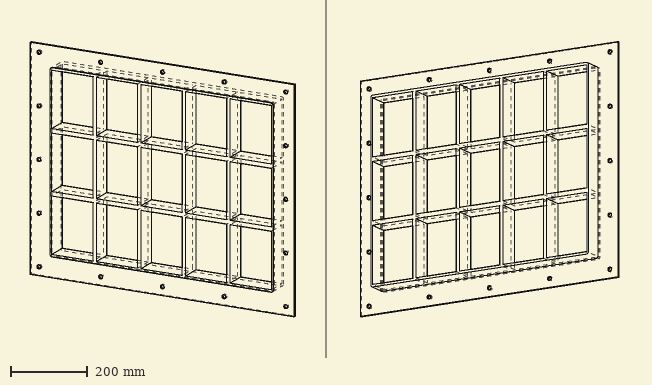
import cadquery as cq

flange_width = 774.5
flange_height = 634.0
flange_thickness = 6.0

box_width = 654.0
box_height = 517.0
box_depth = 60.0
box_corner_radius = 6.0
front_lip = 4.0

columns = 5
rows = 3
side_wall = 5.0
end_wall = 7.0
upright_bar = 10.0
cross_bar = 12.5
opening_width = (box_width - 2 * side_wall - (columns - 1) * upright_bar) / columns
opening_height = (box_height - 2 * end_wall - (rows - 1) * cross_bar) / rows

hole_diameter = 11.0
hole_span_x = 724.0
hole_span_z = 586.0
holes_per_side = 5


def plate(width, height, front_y, depth):
    """Upright block centred on the Y axis, reaching from front_y towards +Y."""
    return cq.Workplane("XY").box(width, depth, height).translate((0, front_y + depth / 2, 0))


def front_sketch_plane():
    """XZ plane at the front of the box, with its normal pointing along -Y."""
    return cq.Workplane("XZ")


def mounting_hole_points():
    last = holes_per_side - 1
    points = []
    for i in range(holes_per_side):
        for j in range(holes_per_side):
            if i in (0, last) or j in (0, last):
                x = hole_span_x * (i / last - 0.5)
                z = hole_span_z * (j / last - 0.5)
                points.append((x, z))
    return points


flange = plate(flange_width, flange_height, front_lip, flange_thickness)
box = plate(box_width, box_height, 0, box_depth).edges("|Y").fillet(box_corner_radius)

openings = (
    front_sketch_plane()
    .rarray(opening_width + upright_bar, opening_height + cross_bar, columns, rows)
    .rect(opening_width, opening_height)
    .extrude(-box_depth)
)
mounting_holes = (
    front_sketch_plane()
    .pushPoints(mounting_hole_points())
    .circle(hole_diameter / 2)
    .extrude(-box_depth)
)

result = flange.union(box).cut(openings).cut(mounting_holes)